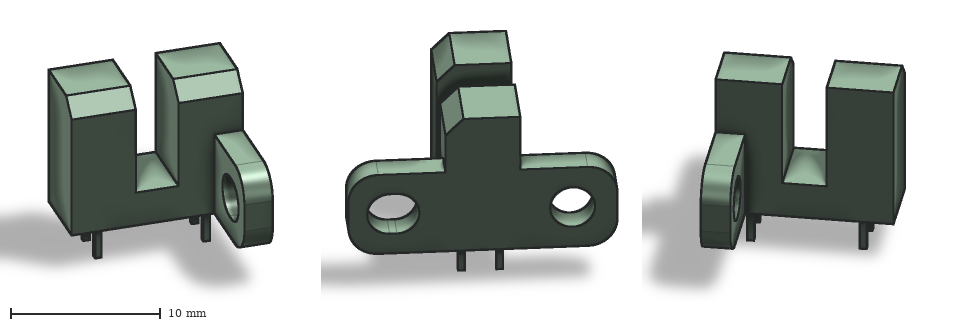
import cadquery as cq

flange_length = 18.0
flange_height = flange_length / 3
flange_thickness = flange_height / 3
flange_corner_radius = flange_thickness

hole_diameter = flange_height / 2
hole_offset = flange_length / 3
hole_height = flange_height / 2
elongated_hole_length = 3.5

body_width = 5.0
body_depth = 2 * flange_height
body_height = 10.0
body_chamfer = 1.2
gap_width = flange_height / 2
gap_depth = 7.5

total_height = 12.6
pin_length = total_height - body_height
pin_size = 0.45
pin_offset_x = 1.28
pin_offset_y = 3.8

back_y = body_depth / 2


def make_flange():
    plate = (
        cq.Workplane("XY")
        .box(flange_length, flange_thickness, flange_height)
        .translate((0, back_y - flange_thickness / 2, hole_height))
        .edges("|Y")
        .fillet(flange_corner_radius)
    )
    hole_plane = cq.Workplane("XZ", origin=(0, back_y, hole_height))
    round_hole = hole_plane.center(-hole_offset, 0).circle(hole_diameter / 2).extrude(flange_thickness)
    elongated_hole = (
        hole_plane.center(hole_offset, 0)
        .slot2D(elongated_hole_length, hole_diameter)
        .extrude(flange_thickness)
    )
    return plate.cut(round_hole).cut(elongated_hole)


def make_body():
    block = (
        cq.Workplane("XY")
        .box(body_width, body_depth, body_height, centered=(True, True, False))
        .edges("|Y and >X and >Z")
        .chamfer(body_chamfer)
    )
    gap = (
        cq.Workplane("XY", origin=(0, 0, body_height - gap_depth))
        .box(body_width, gap_width, gap_depth, centered=(True, True, False))
    )
    return block.cut(gap)


def make_pins():
    return (
        cq.Workplane("XY")
        .rect(2 * pin_offset_x, 2 * pin_offset_y, forConstruction=True)
        .vertices()
        .rect(pin_size, pin_size)
        .extrude(-pin_length)
    )


result = make_body().union(make_flange()).union(make_pins())